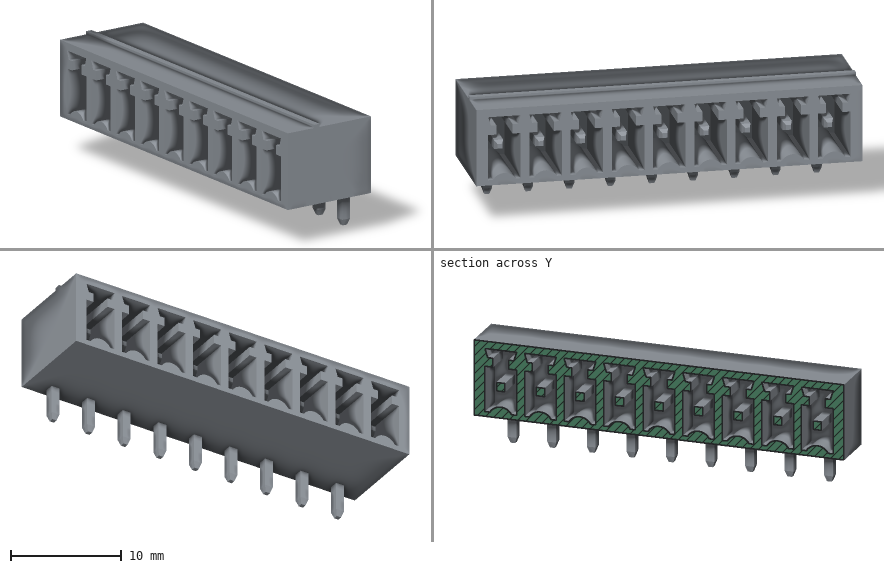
import cadquery as cq

contact_count = 9
pitch = 3.81
end_margin = 2.6

housing_length = (contact_count - 1) * pitch + 2 * end_margin
housing_depth = 9.2
housing_height = 7.25

rib_height = 0.3
rib_width = 0.6
rib_front = 2.9

cavity_width = 3.0
cavity_floor = 0.5
cavity_ceiling = 6.5
cavity_depth = 7.2
key_bottom = 4.8
key_top = 5.7
key_gap = 1.5
flare_width = 2.5
hump_width = 2.1
hump_height = 0.6

pin_size = 0.85
pin_tip_size = 0.45
pin_taper = 0.6
contact_height = 3.0
contact_recess = 2.0
lead_length = 3.4
lead_inset = 1.2

lead_y = housing_depth - lead_inset
contact_positions = [(i - (contact_count - 1) / 2) * pitch for i in range(contact_count)]


def make_housing():
    body = (
        cq.Workplane("XY")
        .box(housing_length, housing_depth, housing_height, centered=(True, False, False))
    )
    rib = (
        cq.Workplane("XY")
        .box(housing_length, rib_width, rib_height, centered=(True, False, False))
        .translate((0, rib_front, housing_height))
    )
    return body.union(rib)


def make_cavity(x):
    """Cavity volume with a key on each side wall and an arched hump on the floor."""
    half_width = cavity_width / 2
    half_gap = key_gap / 2
    half_flare = flare_width / 2
    half_hump = hump_width / 2
    return (
        cq.Workplane("XZ")
        .moveTo(-half_width, cavity_floor)
        .lineTo(-half_hump, cavity_floor)
        .threePointArc((0, cavity_floor + hump_height), (half_hump, cavity_floor))
        .lineTo(half_width, cavity_floor)
        .lineTo(half_width, key_bottom)
        .lineTo(half_gap, key_bottom)
        .lineTo(half_gap, key_top)
        .lineTo(half_flare, key_top)
        .lineTo(half_width, cavity_ceiling)
        .lineTo(-half_width, cavity_ceiling)
        .lineTo(-half_flare, key_top)
        .lineTo(-half_gap, key_top)
        .lineTo(-half_gap, key_bottom)
        .lineTo(-half_width, key_bottom)
        .close()
        .extrude(-cavity_depth)
        .translate((x, 0, 0))
    )


def make_pin(tip, direction, length):
    """Square pin that starts at its tapered tip and runs along the given direction."""
    plane = cq.Plane(origin=tip, xDir=(1, 0, 0), normal=direction)
    taper = (
        cq.Workplane(plane)
        .rect(pin_tip_size, pin_tip_size)
        .workplane(offset=pin_taper)
        .rect(pin_size, pin_size)
        .loft(ruled=True)
    )
    shank = (
        cq.Workplane(plane)
        .workplane(offset=pin_taper)
        .rect(pin_size, pin_size)
        .extrude(length - pin_taper)
    )
    return taper.union(shank)


def make_contact(x):
    """Right-angle contact: mating pin along Y joined to a solder lead along Z."""
    mating_pin = make_pin((x, contact_recess, contact_height), (0, 1, 0), lead_y - contact_recess)
    lead = make_pin((x, lead_y, -lead_length), (0, 0, 1), lead_length + contact_height)
    return mating_pin.union(lead)


result = make_housing()
for position in contact_positions:
    result = result.cut(make_cavity(position))
for position in contact_positions:
    result = result.union(make_contact(position))